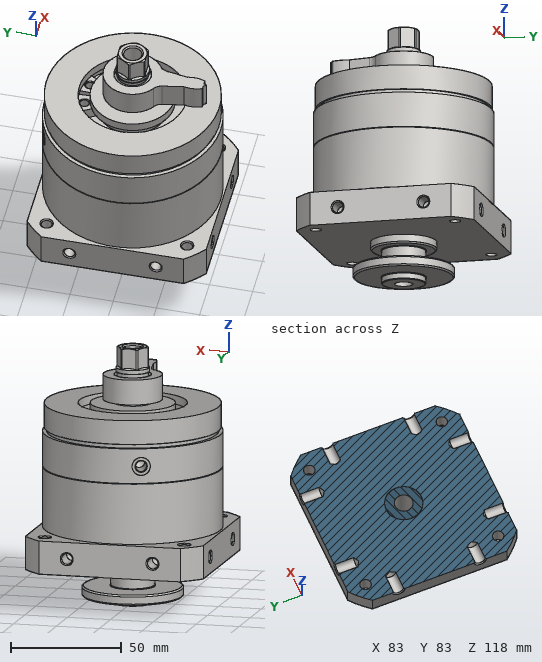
import cadquery as cq
import math

TOTAL_HEIGHT = 118.0
FLANGE_BOTTOM = 19.5
FLANGE_TOP = 34.8
CAP_TOP = 92.0

FLANGE_SIDE = 83.0
FLANGE_CORNER_DIA = 106.0
MOUNT_SPACING = 65.0
SIDE_HOLE_SPACING = 40.0
SIDE_HOLE_DEPTH = 9.4
PILOT_DIA = 30.0
PILOT_HEIGHT = 3.9
PILOT_CHAMFER = 0.7

THREAD_DIA = 5.0
THREAD_MOUTH_DIA = 6.0
DRILL_POINT_ANGLE = 120.0
COUNTERSINK_ANGLE = 90.0

BARREL_DIA = 81.7
BARREL_TOP = 79.2
CAP_DIA = 80.0
NECK_DIA = 78.0
NECK_HEIGHT = 1.8
SEAM_WIDTH = 0.4
SEAM_HEIGHT = 62.9
PORT_MOUTH_DIA = 5.5
PORT_SEAT_DIA = 8.3
PORT_SEAT_DEPTH = 0.5
PORT_HEIGHT = 71.0
PORT_ANGLE = 20.0
PORT_DEPTH = 9.4

SLOT_MOUTH_INNER_DIA = 38.5
SLOT_MOUTH_OUTER_DIA = 49.3
SLOT_INNER_DIA = 32.0
SLOT_OUTER_DIA = 54.0
SLOT_LIP = 4.0
SLOT_DEPTH = 9.0

STOP_START_ANGLE = 2.8
STOP_END_ANGLE = 28.4
STOP_HOLE_RADIUS = 21.8
STOP_HOLE_DIA = 4.1
STOP_HOLE_MOUTH_DIA = 5.0

BORE_DIA = 8.3
BORE_MOUTH_DIA = 9.5
JOURNAL_DIA = 17.0
LOWER_SHAFT_DIA = 20.0
SHAFT_END_CHAMFER = 0.4
ROOT_CHAMFER = 0.4
DISC_DIA = 46.0
DISC_BOTTOM = 3.1
DISC_TOP = 7.8
DISC_CHAMFER = 0.7
CONE_BOTTOM = 103.1
CONE_TOP = 104.5
GROOVE_DIA = 14.3
COLLAR_DIA = 15.2
COLLAR_BOTTOM = 106.4
COLLAR_TOP = 108.3
HEX_FLATS = 13.0
HEX_CORNER_DIA = 14.5
HEX_TOP_DIA = 12.9
HEX_CHAMFER_HEIGHT = 0.5
HEX_RUNOUT_HEIGHT = 0.7

LEVER_BOTTOM = 93.7
LEVER_TOP = 105.1
LEVER_HUB_DIA = 26.9
ARM_FILLET_HUB_Y = -11.3
ARM_ROOT = (5.0, -14.6)
ARM_WAIST = (3.2, -24.5)
ARM_BULGE = (3.5, -28.7)
ARM_END = (2.7, -32.3)
ARM_TIP = (2.5, -32.8)
POINTER_HALF_WIDTH = 1.1
POINTER_Y = -34.1


def cylinder(diameter, bottom, top):
    return cq.Workplane("XY").workplane(offset=bottom).circle(diameter / 2).extrude(top - bottom)


def ring(inner_dia, outer_dia, bottom, top):
    return cylinder(outer_dia, bottom, top).cut(cylinder(inner_dia, bottom, top))


def revolved(points):
    """Solid of revolution about Z from (radius, height) points."""
    return cq.Workplane("XZ").polyline(points).close().revolve(360, (0, 0), (0, 1))


def blind_hole(bore_dia, mouth_dia, depth):
    """Cutter on -Z below the origin: countersunk mouth, straight bore and drill point."""
    radius = bore_dia / 2
    mouth = mouth_dia / 2
    point = radius / math.tan(math.radians(DRILL_POINT_ANGLE / 2))
    return revolved([
        (0, 0),
        (mouth, 0),
        (radius, radius - mouth),
        (radius, -depth),
        (0, -depth - point),
    ])


def facing_y(hole, distance, height):
    """Turn a vertical hole cutter so that it enters from +Y at the given distance from the axis."""
    return hole.rotate((0, 0, 0), (1, 0, 0), -90).translate((0, distance, height))


def make_flange():
    height = FLANGE_TOP - FLANGE_BOTTOM
    flange = (
        cq.Workplane("XY").workplane(offset=FLANGE_BOTTOM)
        .rect(FLANGE_SIDE, FLANGE_SIDE).extrude(height)
        .intersect(cylinder(FLANGE_CORNER_DIA, FLANGE_BOTTOM, FLANGE_TOP))
    )
    flange = (
        flange.faces(">Z").workplane(origin=(0, 0, FLANGE_TOP))
        .rect(MOUNT_SPACING, MOUNT_SPACING, forConstruction=True).vertices()
        .cskHole(THREAD_DIA, THREAD_MOUTH_DIA, COUNTERSINK_ANGLE)
    )
    side_hole = blind_hole(THREAD_DIA, THREAD_MOUTH_DIA, SIDE_HOLE_DEPTH)
    side_hole = facing_y(side_hole, FLANGE_SIDE / 2, (FLANGE_BOTTOM + FLANGE_TOP) / 2)
    for side in range(4):
        for offset in (-SIDE_HOLE_SPACING / 2, SIDE_HOLE_SPACING / 2):
            hole = side_hole.translate((offset, 0, 0)).rotate((0, 0, 0), (0, 0, 1), 90 * side)
            flange = flange.cut(hole)
    return flange


def make_barrel():
    barrel = cylinder(BARREL_DIA, FLANGE_TOP, BARREL_TOP)
    for seam in (FLANGE_TOP, SEAM_HEIGHT):
        barrel = barrel.cut(ring(NECK_DIA, BARREL_DIA, seam, seam + SEAM_WIDTH))
    port = blind_hole(THREAD_DIA, PORT_MOUTH_DIA, PORT_DEPTH)
    seat = cylinder(PORT_SEAT_DIA, 0, PORT_SEAT_DEPTH)
    port = facing_y(port.union(seat), BARREL_DIA / 2 - PORT_SEAT_DEPTH, PORT_HEIGHT)
    return barrel.cut(port.rotate((0, 0, 0), (0, 0, 1), PORT_ANGLE))


def make_cap():
    cap_bottom = BARREL_TOP + NECK_HEIGHT
    lip_bottom = CAP_TOP - SLOT_LIP
    neck = cylinder(NECK_DIA, BARREL_TOP, cap_bottom)
    slot_mouth = ring(SLOT_MOUTH_INNER_DIA, SLOT_MOUTH_OUTER_DIA, lip_bottom, CAP_TOP)
    slot_base = ring(SLOT_INNER_DIA, SLOT_OUTER_DIA, CAP_TOP - SLOT_DEPTH, lip_bottom)
    return cylinder(CAP_DIA, cap_bottom, CAP_TOP).union(neck).cut(slot_mouth).cut(slot_base)


def make_housing():
    pilot_bottom = FLANGE_BOTTOM - PILOT_HEIGHT
    pilot = cylinder(PILOT_DIA, pilot_bottom, FLANGE_BOTTOM).faces("<Z").chamfer(PILOT_CHAMFER)
    housing = make_flange().union(pilot).union(make_barrel()).union(make_cap())
    return housing.cut(cylinder(JOURNAL_DIA, pilot_bottom, CAP_TOP))


def make_stop(side):
    """Stop block filling a sector of the slot base; side is -1 or 1 for its place in X."""
    bottom = CAP_TOP - SLOT_DEPTH
    height = SLOT_DEPTH - SLOT_LIP
    middle_angle = (STOP_START_ANGLE + STOP_END_ANGLE) / 2

    def at(radius, angle):
        turn = math.radians(angle)
        return (side * radius * math.sin(turn), radius * math.cos(turn))

    inner = SLOT_INNER_DIA / 2
    outer = SLOT_OUTER_DIA / 2
    return (
        cq.Workplane("XY").workplane(offset=bottom)
        .moveTo(*at(inner, STOP_START_ANGLE))
        .lineTo(*at(outer, STOP_START_ANGLE))
        .threePointArc(at(outer, middle_angle), at(outer, STOP_END_ANGLE))
        .lineTo(*at(inner, STOP_END_ANGLE))
        .threePointArc(at(inner, middle_angle), at(inner, STOP_START_ANGLE))
        .close().extrude(height)
        .faces(">Z").workplane(origin=(0, 0, bottom + height))
        .pushPoints([at(STOP_HOLE_RADIUS, middle_angle)])
        .cskHole(STOP_HOLE_DIA, STOP_HOLE_MOUTH_DIA, COUNTERSINK_ANGLE)
    )


def make_shaft():
    lower = LOWER_SHAFT_DIA / 2
    disc = DISC_DIA / 2
    journal = JOURNAL_DIA / 2
    groove = GROOVE_DIA / 2
    collar = COLLAR_DIA / 2
    shoulder = FLANGE_BOTTOM - PILOT_HEIGHT
    return revolved([
        (0, 0),
        (lower - SHAFT_END_CHAMFER, 0),
        (lower, SHAFT_END_CHAMFER),
        (lower, DISC_BOTTOM - ROOT_CHAMFER),
        (lower + ROOT_CHAMFER, DISC_BOTTOM),
        (disc - DISC_CHAMFER, DISC_BOTTOM),
        (disc, DISC_BOTTOM + DISC_CHAMFER),
        (disc, DISC_TOP - DISC_CHAMFER),
        (disc - DISC_CHAMFER, DISC_TOP),
        (lower + ROOT_CHAMFER, DISC_TOP),
        (lower, DISC_TOP + ROOT_CHAMFER),
        (lower, shoulder - ROOT_CHAMFER),
        (lower + ROOT_CHAMFER, shoulder),
        (journal, shoulder),
        (journal, CONE_BOTTOM),
        (groove, CONE_TOP),
        (groove, COLLAR_BOTTOM),
        (collar, COLLAR_BOTTOM),
        (collar, COLLAR_TOP),
        (0, COLLAR_TOP),
    ])


def make_hex_end():
    """Hexagon with rounded corners and chamfered top, on a cone where its flats run out."""
    corner = HEX_CORNER_DIA / 2
    rounding = revolved([
        (0, COLLAR_TOP),
        (corner, COLLAR_TOP),
        (corner, TOTAL_HEIGHT - HEX_CHAMFER_HEIGHT),
        (HEX_TOP_DIA / 2, TOTAL_HEIGHT),
        (0, TOTAL_HEIGHT),
    ])
    hexagon = (
        cq.Workplane("XY").workplane(offset=COLLAR_TOP)
        .polygon(6, HEX_FLATS / math.cos(math.pi / 6)).extrude(TOTAL_HEIGHT - COLLAR_TOP)
    )
    runout = revolved([
        (0, COLLAR_TOP),
        (COLLAR_DIA / 2, COLLAR_TOP),
        (HEX_TOP_DIA / 2, COLLAR_TOP + HEX_RUNOUT_HEIGHT),
        (0, COLLAR_TOP + HEX_RUNOUT_HEIGHT),
    ])
    return hexagon.intersect(rounding).union(runout)


def make_lever():
    """Round hub with a tapering arm toward -Y that ends in a small pointer."""
    hub_radius = LEVER_HUB_DIA / 2
    fillet_start = (math.sqrt(hub_radius**2 - ARM_FILLET_HUB_Y**2), ARM_FILLET_HUB_Y)
    half = (
        cq.Workplane("XY").workplane(offset=LEVER_BOTTOM)
        .moveTo(0, hub_radius)
        .threePointArc((hub_radius, 0), fillet_start)
        .tangentArcPoint(ARM_ROOT, relative=False)
        .lineTo(*ARM_WAIST)
        .threePointArc(ARM_BULGE, ARM_END)
        .lineTo(*ARM_TIP)
        .lineTo(POINTER_HALF_WIDTH, ARM_TIP[1])
        .lineTo(0, POINTER_Y)
        .close().extrude(LEVER_TOP - LEVER_BOTTOM)
    )
    lever = half.union(half.mirror("YZ"))
    return lever.cut(cylinder(JOURNAL_DIA, LEVER_BOTTOM, LEVER_TOP))


def make_rotor():
    """Hollow shaft with its hex end and lever; the lever leaves a recess around the cone."""
    mouth_chamfer = (BORE_MOUTH_DIA - BORE_DIA) / 2
    bore = revolved([
        (0, 0),
        (BORE_DIA / 2, 0),
        (BORE_DIA / 2, TOTAL_HEIGHT - mouth_chamfer),
        (BORE_MOUTH_DIA / 2, TOTAL_HEIGHT),
        (0, TOTAL_HEIGHT),
    ])
    return make_shaft().union(make_hex_end()).union(make_lever()).cut(bore)


housing = make_housing()
rotor = make_rotor()
stops = [make_stop(side) for side in (-1, 1)]

result = cq.Compound.makeCompound([housing.val(), rotor.val(), *[stop.val() for stop in stops]])